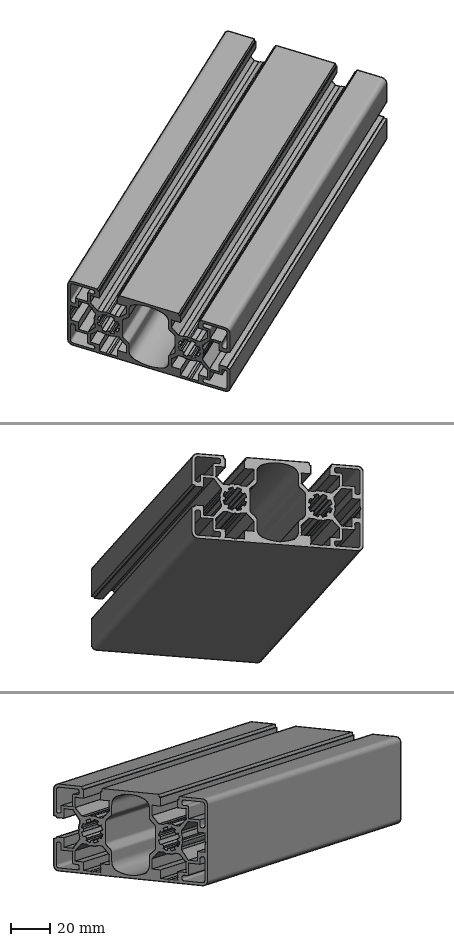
import cadquery as cq
import math

length = 200.0
width = 90.0
height = 45.0
corner_radius = 3.0

half_cell = height / 2
cell_x = width / 4
wall = 1.5

mouth_half = 5.0
lip_thickness = 6.0
relief_depth = 1.5
relief_half = 5.5
relief_flare_half = 6.0
slot_half = 10.0
slot_shoulder = 11.2
core_half = 7.2
face_slot_floor_half = 6.0
side_slot_floor_half = 4.8
core_bulge_radius = 8.0

mark_half = 1.2
mark_depth = 0.5

tooth_count = 8
tooth_radius = 5.0
root_radius = 6.2
groove_share = 0.5

hollow_side = 9.5
hollow_round = 1.5
arm_width = 2.8
arm_reach = 13.5
arm_round = 1.2
elbow_round = 1.0

middle_half = 11.0
middle_waist_half = 14.5
middle_side_bottom = 9.2
middle_waist_top = 6.2
middle_corner_radius = 5.2
middle_neck_round = 2.0


def section():
    """Plane of the cross-section, seen from -Y."""
    return cq.Workplane("XZ")


def extruded(outline):
    """Extrude a closed XZ outline over the full length, centred on Y = 0."""
    return outline.extrude(length / 2, both=True)


def rectangle(x_min, x_max, z_min, z_max):
    """Full-length bar with the given rectangular section."""
    centre = section().center((x_min + x_max) / 2, (z_min + z_max) / 2)
    return extruded(centre.rect(x_max - x_min, z_max - z_min))


def turned(shape, degrees):
    """Turn clockwise as seen from -Y about the Y axis."""
    return shape.rotate((0, 0, 0), (0, 1, 0), degrees)


def t_slot(is_open, floor_half):
    """T-slot facing up, open through the face or closed by a thin skin, with a bulged floor."""
    if is_open:
        mouth = [
            (mouth_half, half_cell - relief_depth),
            (relief_half, half_cell - relief_depth),
            (relief_flare_half, half_cell),
        ]
    else:
        skin = half_cell - wall
        mouth = [(mouth_half, skin), (mark_half, skin), (0, skin + mark_depth)]
    bulge_half = math.sqrt(core_bulge_radius**2 - core_half**2)
    right = [
        (bulge_half, core_half),
        (floor_half, core_half),
        (slot_half, slot_shoulder),
        (slot_half, half_cell - lip_thickness),
        (mouth_half, half_cell - lip_thickness),
    ] + mouth
    left = [(-x, z) for x, z in reversed(right) if x > 0]
    slot = extruded(section().polyline(right + left).close())
    bulge = extruded(section().circle(core_bulge_radius))
    mark_bottom = core_bulge_radius - mark_depth
    mark_top = core_bulge_radius + mark_depth
    mark_points = [(0, mark_bottom), (2 * mark_half, mark_top), (-2 * mark_half, mark_top)]
    mark = extruded(section().polyline(mark_points).close())
    return slot.cut(bulge.cut(mark))


def core_hole():
    """Round hole with grooves between its teeth."""
    hole = extruded(section().circle(tooth_radius))
    pitch = 360 / tooth_count
    half_angle = math.radians(pitch * groove_share / 2)
    groove_half = root_radius * math.sin(half_angle)
    groove_end = root_radius * math.cos(half_angle)
    groove = extruded(
        section()
        .moveTo(-groove_half, 0)
        .lineTo(-groove_half, groove_end)
        .threePointArc((0, root_radius), (groove_half, groove_end))
        .lineTo(groove_half, 0)
        .close()
    )
    for i in range(tooth_count):
        hole = hole.union(turned(groove, (i + 0.5) * pitch))
    return hole


def corner_hollow():
    """Hollow in the upper right corner of a cell."""
    outer = half_cell - wall
    square_min = outer - hollow_side
    arm_min = outer - arm_width
    arm_end = outer - arm_reach
    square = rectangle(square_min, outer, square_min, outer)
    side_arm = rectangle(arm_min, outer, arm_end, outer).edges("|Y and <Z").fillet(arm_round)
    top_arm = rectangle(arm_end, outer, arm_min, outer).edges("|Y and <X").fillet(arm_round)
    hollow = square.union(side_arm).union(top_arm)
    elbow = cq.selectors.NearestToPointSelector((square_min, 0, arm_min))
    hollow = hollow.edges("|Y").edges(elbow).fillet(elbow_round)
    outer_corner = cq.selectors.NearestToPointSelector((outer, 0, outer))
    return hollow.edges("|Y").edges(outer_corner).fillet(hollow_round)


def middle_hollow():
    """Hollow between the two cells: arched top and bottom, widened at the waist."""
    middle_top = half_cell - wall
    tall = rectangle(-middle_half, middle_half, -middle_top, middle_top)
    tall = tall.intersect(extruded(section().circle(middle_top)))
    tall = tall.edges("|Y").fillet(middle_corner_radius)
    right = [
        (middle_half, middle_side_bottom),
        (middle_waist_half, middle_waist_top),
        (middle_waist_half, -middle_waist_top),
        (middle_half, -middle_side_bottom),
    ]
    left = [(-x, -z) for x, z in right]
    waist = extruded(section().polyline(right + left).close())
    hollow = tall.union(waist)
    neck = cq.selectors.BoxSelector(
        (-width, -length, -middle_side_bottom - wall),
        (width, length, middle_side_bottom + wall),
    )
    return hollow.edges("|Y").edges(neck).fillet(middle_neck_round)


def cell_cuts(side):
    """Everything removed from one cell; side is +1 for the right cell, -1 for the left."""
    cuts = [
        core_hole(),
        t_slot(True, face_slot_floor_half),
        t_slot(False, face_slot_floor_half).mirror("XY"),
        turned(t_slot(side > 0, side_slot_floor_half), side * 90),
    ]
    hollow = corner_hollow()
    if side < 0:
        hollow = hollow.mirror("YZ")
    cuts += [hollow, hollow.mirror("XY")]
    return [cut.translate((side * cell_x, 0, 0)) for cut in cuts]


result = rectangle(-width / 2, width / 2, -half_cell, half_cell)
result = result.edges("|Y").fillet(corner_radius)
result = result.cut(middle_hollow())
for side in (-1, 1):
    for cut in cell_cuts(side):
        result = result.cut(cut)